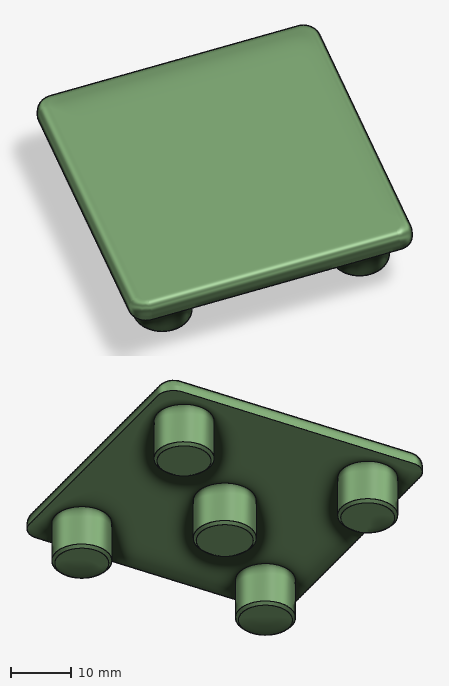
import cadquery as cq

plate_side = 50
plate_thickness = 3
corner_radius = 3
top_edge_radius = 2

leg_height = 8
leg_offset = 17.5
corner_leg_diameter = 10
center_leg_diameter = 10.5
leg_chamfer = 0.5


def make_leg(x, y, diameter):
    """Leg hanging from the plate underside (Z = 0), chamfered at its foot."""
    return (
        cq.Workplane("XY")
        .center(x, y)
        .circle(diameter / 2)
        .extrude(-leg_height)
        .faces("<Z")
        .chamfer(leg_chamfer)
    )


plate = (
    cq.Workplane("XY")
    .rect(plate_side, plate_side)
    .extrude(plate_thickness)
    .edges("|Z")
    .fillet(corner_radius)
    .faces(">Z")
    .edges()
    .fillet(top_edge_radius)
)

result = plate.union(make_leg(0, 0, center_leg_diameter))
for x in (-leg_offset, leg_offset):
    for y in (-leg_offset, leg_offset):
        result = result.union(make_leg(x, y, corner_leg_diameter))